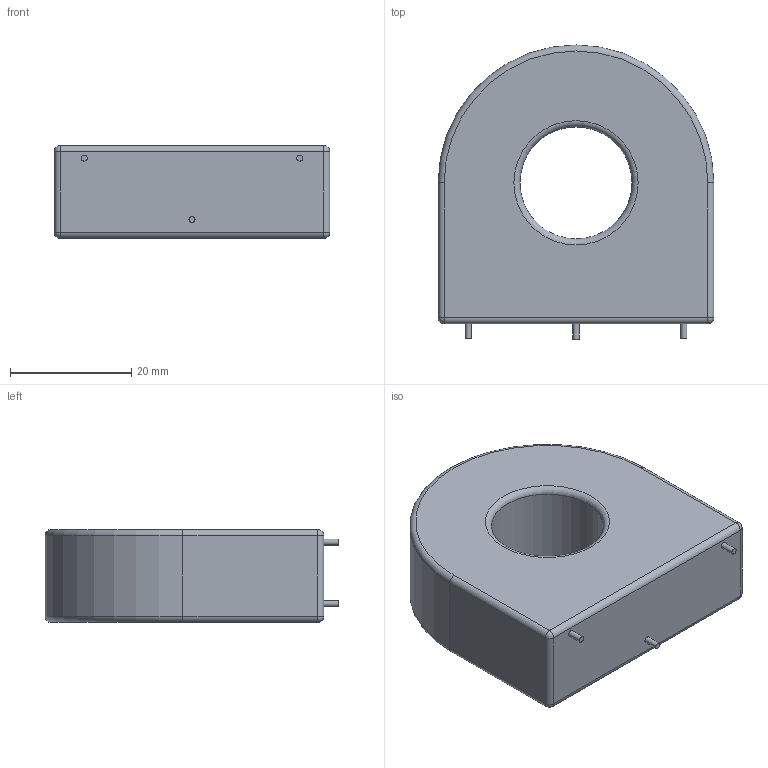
import cadquery as cq

width = 45.5
thickness = 15.3
outer_radius = width / 2
front_length = 23.25
bore_diameter = 18.5
edge_radius = 1.0

pin_diameter = 1.0
pin_length = 2.5
side_pin_offset = 17.78
pin_row_pitch = 10.16
upper_row_z = 5.6
lower_row_z = upper_row_z - pin_row_pitch
pin_positions = [
    (-side_pin_offset, upper_row_z),
    (side_pin_offset, upper_row_z),
    (0, lower_row_z),
]


def make_housing():
    """D-shaped block with a through bore and every edge rounded."""
    block = (
        cq.Workplane("XY")
        .workplane(offset=-thickness / 2)
        .moveTo(-outer_radius, -front_length)
        .lineTo(outer_radius, -front_length)
        .lineTo(outer_radius, 0)
        .threePointArc((0, outer_radius), (-outer_radius, 0))
        .close()
        .extrude(thickness)
    )
    bored = block.faces(">Z").workplane(origin=(0, 0, 0)).hole(bore_diameter)
    front_corners_rounded = bored.faces("<Y").edges("|Z").fillet(edge_radius)
    return front_corners_rounded.faces("|Z").edges().fillet(edge_radius)


def make_pin(x, z):
    """Round pin rooted in the housing and ending beyond the front face."""
    root_depth = edge_radius
    return (
        cq.Workplane("XZ", origin=(x, -front_length + root_depth, z))
        .circle(pin_diameter / 2)
        .extrude(root_depth + pin_length)
    )


result = make_housing()
for pin_x, pin_z in pin_positions:
    result = result.union(make_pin(pin_x, pin_z))